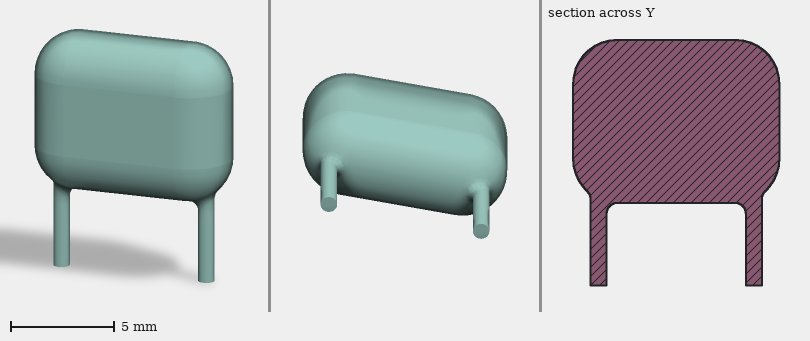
import cadquery as cq


body_length = 10.0
body_thickness = 4.3
body_height = 7.9
round_radius = body_thickness / 2
core_length = body_length - 2 * round_radius
core_height = body_height - 2 * round_radius
core_bottom = round_radius
core_top = core_bottom + core_height

lead_pitch = 7.5
lead_diameter = 0.8
lead_length = 4.0
lead_fillet = 0.49


def make_body():
    """Slab with full rounds on its four sides and spherical corners."""
    body = cq.Workplane("XY").box(core_length, body_thickness, core_height)
    body = body.translate((0, 0, core_bottom + core_height / 2))
    for z in (core_bottom, core_top):
        side_round = (
            cq.Workplane("YZ", origin=(-core_length / 2, 0, z))
            .circle(round_radius)
            .extrude(core_length)
        )
        body = body.union(side_round)
    for x in (-core_length / 2, core_length / 2):
        end_round = (
            cq.Workplane("XY", origin=(x, 0, core_bottom))
            .circle(round_radius)
            .extrude(core_height)
        )
        body = body.union(end_round)
        for z in (core_bottom, core_top):
            corner = cq.Workplane("XY", origin=(x, 0, z)).sphere(round_radius)
            body = body.union(corner)
    return body


def make_lead(x):
    """Round wire from its free end up into the middle of the corner sphere."""
    return (
        cq.Workplane("XY", origin=(x, 0, -lead_length))
        .circle(lead_diameter / 2)
        .extrude(lead_length + core_bottom)
    )


def fillet_lead_roots(part):
    """Blend both leads into the body; the root curves are its only free-form edges."""
    return part.edges("%BSPLINE").fillet(lead_fillet)


result = make_body()
for lead_x in (-lead_pitch / 2, lead_pitch / 2):
    result = result.union(make_lead(lead_x))
result = fillet_lead_roots(result)